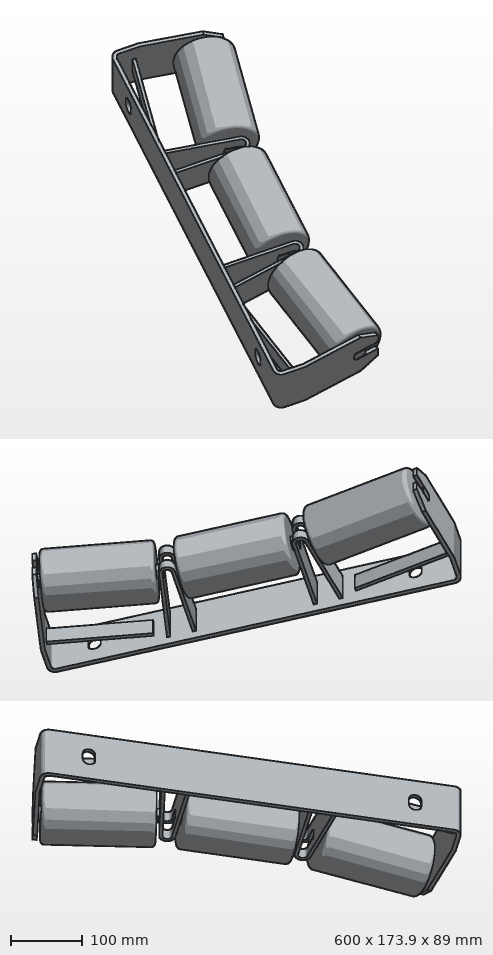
import cadquery as cq
import math

TILT = 10.0
COS = math.cos(math.radians(TILT))
SIN = math.sin(math.radians(TILT))
TAN = math.tan(math.radians(TILT))

FRAME_HALF_LENGTH = 300.0
FRAME_THICKNESS = 6.0
FRAME_WIDTH = 80.5
BEND_RADIUS = 12.0
INNER_BEND_RADIUS = BEND_RADIUS - FRAME_THICKNESS
WALL_FOLD_Y = 44.0
WALL_TOP_Y = 162.5
WALL_TOP_X = -FRAME_HALF_LENGTH + (WALL_TOP_Y - WALL_FOLD_Y) * TAN
WALL_BEVEL_LENGTH = 29.0
WALL_BEVEL_DEPTH = 16.0
WALL_INNER_X = -FRAME_HALF_LENGTH + FRAME_THICKNESS
MOUNT_SLOT_X = 233.0
MOUNT_SLOT_WIDTH = 18.0
MOUNT_SLOT_LENGTH = 27.5

ROLLER_RADIUS = 44.5
ROLLER_LENGTH = 161.0
ROLLER_FILLET = 6.0
SPINDLE_DIAMETER = 20.0
SPINDLE_FLAT_SIZE = 14.0
SPINDLE_SLOT_WIDTH = 16.0
SHOULDER_DISTANCE = 83.5
SEAT_DISTANCE = 85.0
CENTRE_ROLLER_Y = 99.5
SIDE_ROLLER_Y = 117.0

BRACKET_THICKNESS = 5.0
BRACKET_WIDTH = 50.0
BRACKET_CREST_Y = 125.5

BRACE_THICKNESS = 5.0
BRACE_WIDTH = 30.0
BRACE_END_X = -146.5

WALL_SPINDLE_END = SEAT_DISTANCE + FRAME_THICKNESS
BRACKET_SPINDLE_END = SEAT_DISTANCE + BRACKET_THICKNESS

SIDE_ROLLER_X = -FRAME_HALF_LENGTH + (WALL_SPINDLE_END + (SIDE_ROLLER_Y - WALL_FOLD_Y) * SIN) / COS
BRACKET_RADIUS = (
    -SIDE_ROLLER_X * COS - SEAT_DISTANCE * (1 + COS) - (BRACKET_CREST_Y - SIDE_ROLLER_Y) * SIN
) / (1 + COS - SIN)


def place_at_side(body):
    """Move a body from the roller's own frame (axis on X, centre at the origin) to the left roller."""
    return body.rotate((0, 0, 0), (0, 0, 1), -TILT).translate((SIDE_ROLLER_X, SIDE_ROLLER_Y, 0))


def mirrored(body):
    """The same body on the other side of the YZ plane."""
    return body.mirror("YZ")


def x_cylinder(diameter, start, end):
    """Cylinder on the X axis from start to end."""
    return cq.Workplane("YZ", origin=(start, 0, 0)).circle(diameter / 2).extrude(end - start)


def spindle_slot(start, end):
    """Cutter for a slot open towards +Y, its bottom rounded to the spindle, from X = start to X = end."""
    open_length = WALL_TOP_Y
    opening = (
        cq.Workplane("YZ", origin=(start, open_length / 2, 0))
        .rect(open_length, SPINDLE_SLOT_WIDTH)
        .extrude(end - start)
    )
    flat_band = cq.Workplane("XY").box(2 * FRAME_HALF_LENGTH, SPINDLE_DIAMETER, SPINDLE_SLOT_WIDTH)
    return opening.union(x_cylinder(SPINDLE_DIAMETER, start, end).intersect(flat_band))


def wall_bevels():
    """Cutter for the two bevelled corners at the free end of the left wall."""
    edge = FRAME_WIDTH / 2
    wedge = (
        cq.Workplane("YZ")
        .polyline([(-WALL_BEVEL_LENGTH, edge), (0, edge), (0, edge - WALL_BEVEL_DEPTH)])
        .close()
        .extrude(FRAME_THICKNESS)
    )
    pair = wedge.union(wedge.mirror("XY"))
    return pair.rotate((0, 0, 0), (0, 0, 1), -TILT).translate((WALL_TOP_X, WALL_TOP_Y, 0))


def frame_blank():
    """Folded plate before any cut-out."""
    inner_fold_y = WALL_FOLD_Y - FRAME_THICKNESS * math.tan(math.radians(TILT / 2))
    outer_folds = [(-FRAME_HALF_LENGTH, 0), (-FRAME_HALF_LENGTH, WALL_FOLD_Y)]
    wall_top = [
        (WALL_TOP_X, WALL_TOP_Y),
        (WALL_TOP_X + FRAME_THICKNESS * COS, WALL_TOP_Y - FRAME_THICKNESS * SIN),
    ]
    inner_folds = [(WALL_INNER_X, inner_fold_y), (WALL_INNER_X, FRAME_THICKNESS)]

    left_outline = outer_folds + wall_top + inner_folds
    right_outline = [(-x, y) for x, y in reversed(left_outline)]
    blank = (
        cq.Workplane("XY")
        .polyline(left_outline + right_outline)
        .close()
        .extrude(FRAME_WIDTH / 2, both=True)
    )

    for folds, radius in ((outer_folds, BEND_RADIUS), (inner_folds, INNER_BEND_RADIUS)):
        for x, y in folds:
            for side in (1, -1):
                fold_edge = cq.NearestToPointSelector((side * x, y, 0))
                blank = blank.edges("|Z").edges(fold_edge).fillet(radius)
    return blank


def make_frame():
    body = frame_blank()
    wall_slot = place_at_side(spindle_slot(-WALL_SPINDLE_END, -SEAT_DISTANCE))
    for cutter in (wall_slot, wall_bevels()):
        body = body.cut(cutter).cut(mirrored(cutter))
    mount_slots = (
        cq.Workplane("XZ")
        .pushPoints([(-MOUNT_SLOT_X, 0), (MOUNT_SLOT_X, 0)])
        .slot2D(MOUNT_SLOT_LENGTH, MOUNT_SLOT_WIDTH, 90)
        .extrude(-FRAME_THICKNESS)
    )
    return body.cut(mount_slots)


def make_roller(left_end, right_end):
    """Roller in one piece with its spindle, which reaches left_end and right_end from the centre."""
    drum = x_cylinder(2 * ROLLER_RADIUS, -ROLLER_LENGTH / 2, ROLLER_LENGTH / 2)
    drum = drum.edges("%CIRCLE").fillet(ROLLER_FILLET)
    shaft = x_cylinder(SPINDLE_DIAMETER, -SHOULDER_DISTANCE, SHOULDER_DISTANCE)
    flats = cq.Workplane("XY").box(2 * FRAME_HALF_LENGTH, SPINDLE_DIAMETER, SPINDLE_FLAT_SIZE)
    flatted_shaft = x_cylinder(SPINDLE_DIAMETER, -left_end, right_end).intersect(flats)
    return drum.union(shaft).union(flatted_shaft)


def arch(radius):
    """Solid arch of the left bracket: an upright side, a round top and a side sloping by TILT."""
    centre_x = -SEAT_DISTANCE - BRACKET_RADIUS
    centre_y = BRACKET_CREST_Y - BRACKET_RADIUS
    foot_y = FRAME_THICKNESS
    slope_top_x = centre_x - radius * COS
    slope_top_y = centre_y + radius * SIN
    middle = math.radians((180 - TILT) / 2)
    return (
        cq.Workplane("XY")
        .moveTo(centre_x + radius, foot_y)
        .lineTo(centre_x + radius, centre_y)
        .threePointArc(
            (centre_x + radius * math.cos(middle), centre_y + radius * math.sin(middle)),
            (slope_top_x, slope_top_y),
        )
        .lineTo(slope_top_x - (slope_top_y - foot_y) * TAN, foot_y)
        .close()
        .extrude(BRACKET_WIDTH / 2, both=True)
    )


def make_bracket():
    """Left bracket; each leg's slot reaches the middle of the arch, so the slots join over the top."""
    body = arch(BRACKET_RADIUS).cut(arch(BRACKET_RADIUS - BRACKET_THICKNESS))
    slot_end = SEAT_DISTANCE + BRACKET_RADIUS
    upright_slot = spindle_slot(-slot_end, -SEAT_DISTANCE).translate((0, CENTRE_ROLLER_Y, 0))
    sloping_slot = place_at_side(spindle_slot(SEAT_DISTANCE, slot_end))
    return body.cut(upright_slot).cut(sloping_slot)


def make_brace():
    """Left brace: a flat strip rising by TILT from the base plate to the wall."""
    low_y = FRAME_THICKNESS
    high_y = low_y + BRACE_THICKNESS / COS
    rise = (BRACE_END_X - WALL_INNER_X) * TAN
    return (
        cq.Workplane("XY")
        .polyline([
            (BRACE_END_X, low_y),
            (BRACE_END_X, high_y),
            (WALL_INNER_X, high_y + rise),
            (WALL_INNER_X, low_y + rise),
        ])
        .close()
        .extrude(BRACE_WIDTH / 2, both=True)
    )


frame = make_frame()
centre_roller = make_roller(BRACKET_SPINDLE_END, BRACKET_SPINDLE_END).translate((0, CENTRE_ROLLER_Y, 0))

side_bodies = []
for left_body in (
    place_at_side(make_roller(WALL_SPINDLE_END, BRACKET_SPINDLE_END)),
    make_bracket(),
    make_brace(),
):
    side_bodies += [left_body.val(), mirrored(left_body).val()]

result = cq.Compound.makeCompound([frame.val(), centre_roller.val(), *side_bodies])